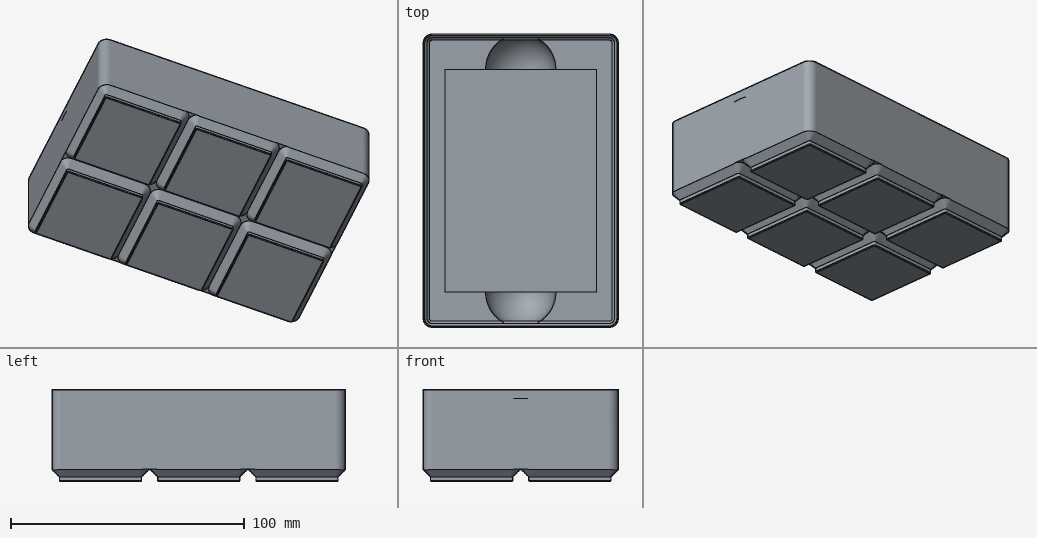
import cadquery as cq

cells_x = 2
cells_y = 3
length = 125.5
height = 39.3
cell_gap = 0.5
pitch = (length + cell_gap) / cells_y
width = cells_x * pitch - cell_gap
corner_radius = 4.0

flare_taper = -45

base_height = 5.4
cell_radius = 4.0
foot_inset = 3.4
foot_chamfer = 0.4

lip_inset = 2.6
lip_lower_chamfer = 1.0
lip_straight = 1.8
rim_width = 0.6
lip_upper_chamfer = lip_inset - lip_lower_chamfer - rim_width
lip_height = lip_lower_chamfer + lip_straight + lip_upper_chamfer
deck_z = height - lip_height

pocket_width = 64.9
pocket_length = 95.1
pocket_floor_z = 7.0
scoop_radius = 15.0


def rounded_layer(size_x, size_y, radius, bottom_z, thickness, taper=0):
    """Layer with a rounded rectangular bottom, centred on the Z axis."""
    outline = cq.Sketch().rect(size_x, size_y).vertices().fillet(radius)
    plane = cq.Workplane("XY").workplane(offset=bottom_z)
    return plane.placeSketch(outline).extrude(thickness, taper=taper)


def flared_stack(size_x, size_y, radius, bottom_z, first_flare, straight, last_flare):
    """45 degree flare, straight wall and second flare; the given size is that of the top."""
    straight_z = bottom_z + first_flare
    last_z = straight_z + straight

    def layer(inset, z, thickness, taper=0):
        return rounded_layer(size_x - 2 * inset, size_y - 2 * inset, radius - inset, z, thickness, taper)

    stack = layer(first_flare + last_flare, bottom_z, first_flare, flare_taper)
    stack = stack.union(layer(last_flare, straight_z, straight))
    return stack.union(layer(last_flare, last_z, last_flare, flare_taper))


def make_body():
    """Solid block on a grid of feet, trimmed to the outer outline."""
    foot_straight = base_height - foot_chamfer - foot_inset
    foot = flared_stack(pitch, pitch, cell_radius, 0, foot_chamfer, foot_straight, foot_inset)
    body = rounded_layer(width, length, corner_radius, base_height, height - base_height)
    for center in cq.Workplane("XY").rarray(pitch, pitch, cells_x, cells_y).vals():
        body = body.union(foot.translate(center))
    return body.intersect(rounded_layer(width, length, corner_radius, 0, height))


def make_lip_recess():
    """Space inside the stacking lip, from the deck up to the rim."""
    return flared_stack(
        width - 2 * rim_width,
        length - 2 * rim_width,
        corner_radius - rim_width,
        deck_z,
        lip_lower_chamfer,
        lip_straight,
        lip_upper_chamfer,
    )


def make_pocket():
    """Rectangular pocket with a spherical finger scoop at each end, all below the deck."""
    depth = deck_z - pocket_floor_z
    pocket = cq.Workplane("XY").workplane(offset=pocket_floor_z).rect(pocket_width, pocket_length).extrude(depth)
    for end_y in (-pocket_length / 2, pocket_length / 2):
        scoop = cq.Workplane("XY").sphere(scoop_radius, angle2=0)
        pocket = pocket.union(scoop.translate((0, end_y, deck_z)))
    return pocket


result = make_body().cut(make_lip_recess()).cut(make_pocket())